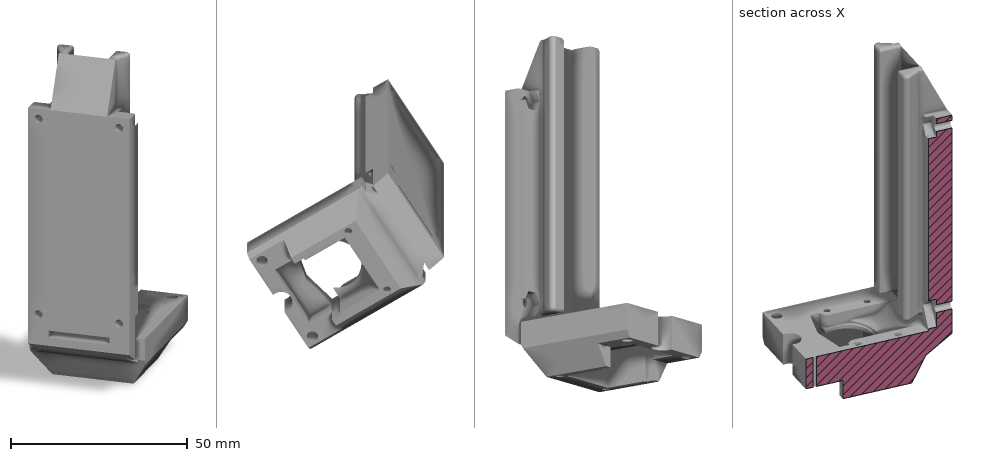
import cadquery as cq
import math

TOTAL_HEIGHT = 99.4
BASE_WIDTH = 34.4
BASE_BACK = 45.6

BASE_TOP = 15.8
BASE_FRONT = 7.5
SIDE_EDGE_Z = 8.05
BOTTOM_HALF_WIDTH = 12.1
FLANGE_BOTTOM = 6.0
FLANGE_FRONT = 34.1
NOSE_POINTS = [(8.1, 8.05), (10.4, 3.9), (12.6, 0.0)]
WEB_FRONT_HALF_WIDTH = 12.3
WEB_BACK_HALF_WIDTH = 15.4

PLATE_WIDTH = 30.2
PLATE_THICKNESS = BASE_FRONT
PLATE_TOP = 84.4
PLATE_BOTTOM = 13.3

PLATE_HOLE_DIAMETER = 2.4
PLATE_HOLE_X = 12.0
PLATE_HOLE_HEIGHTS = (22.5, 81.4)
NUT_FLOOR_Y = 5.0
NUT_FLATS = 6.0
HEX_CORNERS = 6
HEX_FLANK_ANGLE = 60
CABLE_SLOT_WIDTH = 18.4
CABLE_SLOT_BOTTOM = 15.7
CABLE_SLOT_TOP = 17.9

RAIL_BOTTOM = 19.4
RAIL_HALF_WIDTH = 8.4
RAIL_ROOT_TOP = 8.4
RAIL_BACK = 14.2
RAIL_INNER_HALF_WIDTH = 6.2
FLARE_SLOPE = 0.57
TIP_RADIUS = 1.2
RAIL_END_RADIUS = 1.0
RAMP_TOP = 99.0

LENS_Y = 26.8
LENS_RADIUS = 7.4
LENS_SEAT_Y = 28.6
LENS_SEAT_RADIUS = 9.9
SEAT_CHAMFER = 0.4
SEAT_CHAMFER_ANGLE = 45
LENS_SEAT_Z = 11.8
RECESS_FLOOR = 12.6
RECESS_HALF_WIDTH = 7.9
RECESS_CORNER_RADIUS = 2.3
WINDOW_HALF_WIDTH = 10.0
WINDOW_FRONT = 31.1
WINDOW_SHOULDER = 34.1
WINDOW_PEAK = 36.3
WINDOW_PEAK_HALF_WIDTH = 0.4
CABLE_RAMP_START = 16.2
CABLE_RAMP_MIDDLE = 12.3
CABLE_RAMP_END = 8.5

CHAMBER_TOP = 10.7
CHAMBER_HALF_WIDTH = 9.3
CHAMBER_FRONT = 17.9
CHAMBER_BACK = 41.3

MOUNT_HOLE_DIAMETER = 3.2
MOUNT_HOLE_X = 13.5
MOUNT_HOLE_Y = 42.8
PILOT_DIAMETER = 2.1
PILOT_X = 10.4
PILOT_FRONT_Y = 16.1
PILOT_BACK_Y = 28.6
PILOT_BACK_DEPTH = 9.9
NOTCH_RADIUS = 3.2
NOTCH_Y = 44.8


def box(x_min, x_max, y_min, y_max, z_min, z_max):
    size = (x_max - x_min, y_max - y_min, z_max - z_min)
    return cq.Workplane("XY").box(*size, centered=False).translate((x_min, y_min, z_min))


def symmetric_box(half_width, y_min, y_max, z_min, z_max):
    return box(-half_width, half_width, y_min, y_max, z_min, z_max)


def side_profile(points, half_width):
    """Extrude a (Y, Z) outline symmetrically along X."""
    return cq.Workplane("YZ").polyline(points).close().extrude(half_width, both=True)


def vertical_cylinder(x, y, radius, z_min, z_max):
    return cq.Workplane("XY", origin=(x, y, z_min)).circle(radius).extrude(z_max - z_min)


def with_mirror(shape):
    return shape.union(shape.mirror("YZ"))


def make_base():
    half = BASE_WIDTH / 2
    section = [
        (-half, BASE_TOP),
        (half, BASE_TOP),
        (half, SIDE_EDGE_Z),
        (BOTTOM_HALF_WIDTH, 0),
        (-BOTTOM_HALF_WIDTH, 0),
        (-half, SIDE_EDGE_Z),
    ]
    block = cq.Workplane("XZ").polyline(section).close().extrude(-BASE_BACK)
    (kink_y, kink_z), (middle_y, middle_z), nose_end = NOSE_POINTS
    wing_bottom = kink_z + (kink_y - BASE_FRONT) * (kink_z - middle_z) / (middle_y - kink_y)
    outline = [
        (BASE_FRONT, BASE_TOP),
        (BASE_FRONT, wing_bottom),
        (middle_y, middle_z),
        nose_end,
        (FLANGE_FRONT, 0),
        (FLANGE_FRONT, FLANGE_BOTTOM),
        (BASE_BACK, FLANGE_BOTTOM),
        (BASE_BACK, BASE_TOP),
    ]
    return block.intersect(side_profile(outline, half))


def make_plate():
    outline = [
        (0, PLATE_BOTTOM),
        (0, PLATE_TOP),
        (PLATE_THICKNESS, PLATE_TOP),
        (PLATE_THICKNESS, BASE_TOP),
        (NOSE_POINTS[0][0], BASE_TOP),
        NOSE_POINTS[0],
    ]
    return side_profile(outline, PLATE_WIDTH / 2)


def cut_nut_pockets(body):
    """Hexagonal nut pockets, each opened out to the nearest outer corner of the plate."""
    corner_radius = NUT_FLATS / math.sqrt(3)
    edge_x = BASE_WIDTH / 2
    depth = PLATE_THICKNESS - NUT_FLOOR_Y
    low_z, high_z = PLATE_HOLE_HEIGHTS
    inner_x = PLATE_HOLE_X - corner_radius / 2
    slope = math.tan(math.radians(HEX_FLANK_ANGLE))
    web_top_x = inner_x + (low_z - NUT_FLATS / 2 - BASE_TOP) / slope
    openings = (
        [
            (PLATE_HOLE_X, low_z),
            (inner_x, low_z - NUT_FLATS / 2),
            (web_top_x, BASE_TOP),
            (edge_x, BASE_TOP),
            (PLATE_HOLE_X + corner_radius, low_z),
        ],
        [
            (PLATE_HOLE_X, high_z),
            (PLATE_HOLE_X + corner_radius, high_z),
            (edge_x, PLATE_TOP),
            (inner_x, PLATE_TOP),
        ],
    )
    for hole_z, opening in zip(PLATE_HOLE_HEIGHTS, openings):
        plane = cq.Workplane("XZ", origin=(0, NUT_FLOOR_Y, 0))
        pocket = plane.center(PLATE_HOLE_X, hole_z).polygon(HEX_CORNERS, 2 * corner_radius).extrude(-depth)
        corner = plane.polyline(opening).close().extrude(-depth)
        body = body.cut(with_mirror(pocket.union(corner)))
    return body


def cut_web_sides(body):
    """Leave only a tapered web between the plate and the wings, below the lower nut pockets."""
    outline = [
        (WEB_FRONT_HALF_WIDTH, NUT_FLOOR_Y),
        (WEB_BACK_HALF_WIDTH, BASE_FRONT),
        (BASE_WIDTH, BASE_FRONT),
        (BASE_WIDTH, NUT_FLOOR_Y),
    ]
    return body.cut(with_mirror(cq.Workplane("XY").polyline(outline).close().extrude(BASE_TOP)))


def cut_plate_holes(body):
    points = [(x, z) for x in (-PLATE_HOLE_X, PLATE_HOLE_X) for z in PLATE_HOLE_HEIGHTS]
    holes = cq.Workplane("XZ").pushPoints(points).circle(PLATE_HOLE_DIAMETER / 2).extrude(-PLATE_THICKNESS)
    slot = symmetric_box(CABLE_SLOT_WIDTH / 2, 0, PLATE_THICKNESS, CABLE_SLOT_BOTTOM, CABLE_SLOT_TOP)
    return body.cut(holes).cut(slot)


def make_lip():
    tip_x = RAIL_HALF_WIDTH + FLARE_SLOPE * (RAIL_BACK - RAIL_ROOT_TOP)
    outline = [
        (RAIL_INNER_HALF_WIDTH, PLATE_THICKNESS),
        (RAIL_HALF_WIDTH, PLATE_THICKNESS),
        (RAIL_HALF_WIDTH, RAIL_ROOT_TOP),
        (tip_x, RAIL_BACK),
        (RAIL_INNER_HALF_WIDTH, RAIL_BACK),
    ]
    lip = cq.Workplane("XY", origin=(0, 0, RAIL_BOTTOM)).polyline(outline).close()
    lip = lip.extrude(TOTAL_HEIGHT - RAIL_BOTTOM)
    lip = lip.edges("|Z").edges(">X").fillet(TIP_RADIUS)
    end_edges = lip.faces("<Z or >Z").edges()
    root_edges = lip.faces("<Y").edges()
    rounded = [edge for edge in end_edges.vals() if edge not in root_edges.vals()]
    return lip.newObject(rounded).fillet(RAIL_END_RADIUS)


def make_rail():
    ramp = side_profile(
        [(0, PLATE_TOP), (PLATE_THICKNESS, RAMP_TOP), (PLATE_THICKNESS, PLATE_TOP)], RAIL_HALF_WIDTH
    )
    return ramp.union(with_mirror(make_lip()))


def cut_window(body):
    outline = [
        (-WINDOW_HALF_WIDTH, WINDOW_FRONT),
        (-WINDOW_HALF_WIDTH, WINDOW_SHOULDER),
        (-WINDOW_PEAK_HALF_WIDTH, WINDOW_PEAK),
        (WINDOW_PEAK_HALF_WIDTH, WINDOW_PEAK),
        (WINDOW_HALF_WIDTH, WINDOW_SHOULDER),
        (WINDOW_HALF_WIDTH, WINDOW_FRONT),
    ]
    return body.cut(cq.Workplane("XY").polyline(outline).close().extrude(BASE_TOP))


def cut_recess(body):
    """Recess whose floor rises to the cable slot through a smooth S-shaped ramp."""
    rise = CABLE_SLOT_BOTTOM - RECESS_FLOOR
    run = CABLE_RAMP_START - CABLE_RAMP_END
    middle_z = RECESS_FLOOR + rise * (CABLE_RAMP_START - CABLE_RAMP_MIDDLE) / run
    profile = (
        cq.Workplane("YZ")
        .moveTo(WINDOW_FRONT, RECESS_FLOOR)
        .lineTo(CABLE_RAMP_START, RECESS_FLOOR)
        .tangentArcPoint((CABLE_RAMP_MIDDLE, middle_z), relative=False)
        .tangentArcPoint((CABLE_RAMP_END, CABLE_SLOT_BOTTOM), relative=False)
        .lineTo(PLATE_THICKNESS, CABLE_SLOT_BOTTOM)
        .lineTo(PLATE_THICKNESS, BASE_TOP)
        .lineTo(WINDOW_FRONT, BASE_TOP)
        .close()
    )
    body = body.cut(profile.extrude(RECESS_HALF_WIDTH, both=True))
    flare_start = WINDOW_FRONT - RECESS_CORNER_RADIUS
    flare_x = RECESS_HALF_WIDTH + RECESS_CORNER_RADIUS
    flare = (
        cq.Workplane("XY", origin=(0, 0, LENS_SEAT_Z))
        .moveTo(0, WINDOW_FRONT)
        .lineTo(flare_x, WINDOW_FRONT)
        .radiusArc((RECESS_HALF_WIDTH, flare_start), -RECESS_CORNER_RADIUS)
        .lineTo(0, flare_start)
        .close()
        .extrude(BASE_TOP - LENS_SEAT_Z)
    )
    return body.cut(with_mirror(flare))


def cut_lens_seat(body):
    """Round seat, open toward the window, with the lens bore through its floor."""
    seat = vertical_cylinder(0, LENS_SEAT_Y, LENS_SEAT_RADIUS, LENS_SEAT_Z, RECESS_FLOOR)
    rim_plane = cq.Workplane("XY", origin=(0, LENS_SEAT_Y, RECESS_FLOOR))
    rim = rim_plane.circle(LENS_SEAT_RADIUS + SEAT_CHAMFER).extrude(-SEAT_CHAMFER, taper=SEAT_CHAMFER_ANGLE)
    open_end = symmetric_box(RECESS_HALF_WIDTH, LENS_Y, WINDOW_FRONT, LENS_SEAT_Z, RECESS_FLOOR)
    inside = symmetric_box(RECESS_HALF_WIDTH, 0, WINDOW_FRONT, 0, BASE_TOP)
    seat = seat.union(rim).union(open_end).intersect(inside)
    return body.cut(seat).cut(vertical_cylinder(0, LENS_Y, LENS_RADIUS, 0, BASE_TOP))


def cut_chamber(body):
    return body.cut(symmetric_box(CHAMBER_HALF_WIDTH, CHAMBER_FRONT, CHAMBER_BACK, 0, CHAMBER_TOP))


def cut_base_holes(body):
    for side in (-1, 1):
        mount_x = side * MOUNT_HOLE_X
        pilot_x = side * PILOT_X
        body = body.cut(vertical_cylinder(mount_x, MOUNT_HOLE_Y, MOUNT_HOLE_DIAMETER / 2, 0, BASE_TOP))
        body = body.cut(vertical_cylinder(pilot_x, PILOT_FRONT_Y, PILOT_DIAMETER / 2, 0, BASE_TOP))
        blind_bottom = BASE_TOP - PILOT_BACK_DEPTH
        body = body.cut(vertical_cylinder(pilot_x, PILOT_BACK_Y, PILOT_DIAMETER / 2, blind_bottom, BASE_TOP))
    return body.cut(vertical_cylinder(0, NOTCH_Y, NOTCH_RADIUS, 0, BASE_TOP))


result = make_base().union(make_plate())
result = cut_nut_pockets(result)
result = cut_web_sides(result)
result = cut_window(result)
result = cut_recess(result)
result = cut_lens_seat(result)
result = cut_chamber(result)
result = cut_base_holes(result)
result = result.union(make_rail())
result = cut_plate_holes(result)